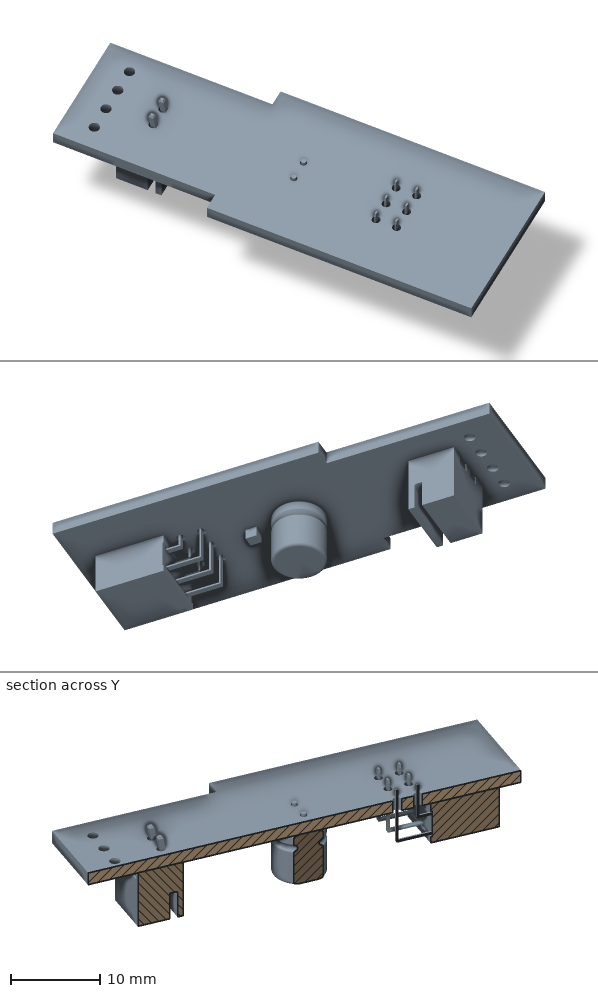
import cadquery as cq
BOARD_LENGTH = 53.35
BOARD_WIDTH = 18.8
BOARD_THICKNESS = 1.6
NECK_LENGTH = 20.25
NECK_WIDTH = 14.6
BOARD_START_X = -BOARD_LENGTH / 2
BOARD_END_X = BOARD_LENGTH / 2
NECK_END_X = BOARD_START_X + NECK_LENGTH

WIRE_HOLE_DIAMETER = 1.3
WIRE_HOLE_X = -22.9
WIRE_HOLE_PITCH = 3.0
WIRE_HOLE_COUNT = 4

SOCKET_START_X = -20.55
SOCKET_LENGTH = 5.65
SOCKET_WIDTH = 7.4
SOCKET_HEIGHT = 7.05
SLOT_WIDTH = 0.95
SLOT_HEIGHT = 3.35
SLOT_WALL = 0.75
SLOT_CORNER_RADIUS = 0.25
SOCKET_PIN_X = -17.1
SOCKET_PIN_PITCH = 2.5
SOCKET_PIN_SIZE = 0.65
SOCKET_PIN_HOLE_DIAMETER = 1.0
SOCKET_PIN_TOP = 3.35
SOCKET_PIN_TAPER_HEIGHT = 0.25
SOCKET_PIN_TIP_SCALE = 0.5
KINK_OFFSET = 0.15
TIP_OFFSET = -0.1
CHANNEL_WIDTH = 1.6
CHANNEL_HEIGHT = 0.25
POCKET_HEIGHT = 1.05
POCKET_DEPTH = 0.2
POCKET_WALL_LEAN = 0.08

CAN_X = 0.5
CAN_DIAMETER = 6.3
CAN_HEIGHT = 6.45
CAN_EDGE_RADIUS = 0.4
GROOVE_TOP = 1.25
GROOVE_BOTTOM = 2.1
GROOVE_DEPTH = 0.25
GROOVE_EDGE_RADIUS = 0.2
LEAD_DIAMETER = 0.6
LEAD_PITCH = 2.5
LEAD_HOLE_DIAMETER = 0.8
LEAD_PROTRUSION = 0.3

CHIP_START_X = 5.5
CHIP_SIZE = 1.35
CHIP_HEIGHT = 1.3

HEADER_START_X = 15.5
HEADER_LENGTH = 8.5
HEADER_WIDTH = 7.6
HEADER_HEIGHT = 5.2
RECESS_DEPTH = 0.15
RECESS_TOP = 1.0
RECESS_BOTTOM = 4.3
HEADER_PITCH = 2.55
NEAR_PIN_X = 14.0
NEAR_LEG_Z = -1.35
HEADER_ROWS = 2
PINS_PER_ROW = 3
HEADER_PIN_WIDTH = 0.65
HEADER_PIN_THICKNESS = 0.2
HEADER_PIN_HOLE_DIAMETER = 1.0
HEADER_PIN_TOP = 2.9
HEADER_PIN_TAPER_HEIGHT = 0.45
HEADER_PIN_TAPER_INSET = 0.1


def centered_positions(count, pitch):
    """Evenly spaced positions that lie symmetrically about zero."""
    return [(i - (count - 1) / 2) * pitch for i in range(count)]


SOCKET_PIN_YS = centered_positions(2, SOCKET_PIN_PITCH)
LEAD_YS = centered_positions(2, LEAD_PITCH)
HEADER_PIN_YS = centered_positions(PINS_PER_ROW, HEADER_PITCH)
HEADER_PIN_XS = [NEAR_PIN_X - row * HEADER_PITCH for row in range(HEADER_ROWS)]


def make_block(start_x, end_x, width, bottom_z, top_z):
    """Rectangular block that is symmetrical about Y = 0."""
    block = cq.Workplane("XY").box(end_x - start_x, width, top_z - bottom_z, centered=(False, True, False))
    return block.translate((start_x, 0, bottom_z))


def drill(board, points, diameter):
    """Drill round holes through the board."""
    drills = cq.Workplane("XY").pushPoints(points).circle(diameter / 2).extrude(BOARD_THICKNESS)
    return board.cut(drills)


def make_board():
    neck = make_block(BOARD_START_X, NECK_END_X, NECK_WIDTH, 0, BOARD_THICKNESS)
    main_area = make_block(NECK_END_X, BOARD_END_X, BOARD_WIDTH, 0, BOARD_THICKNESS)
    board = neck.union(main_area)

    wire_holes = [(WIRE_HOLE_X, y) for y in centered_positions(WIRE_HOLE_COUNT, WIRE_HOLE_PITCH)]
    socket_holes = [(SOCKET_PIN_X, y) for y in SOCKET_PIN_YS]
    lead_holes = [(CAN_X, y) for y in LEAD_YS]
    header_holes = [(x, y) for x in HEADER_PIN_XS for y in HEADER_PIN_YS]
    board = drill(board, wire_holes, WIRE_HOLE_DIAMETER)
    board = drill(board, socket_holes, SOCKET_PIN_HOLE_DIAMETER)
    board = drill(board, lead_holes, LEAD_HOLE_DIAMETER)
    board = drill(board, header_holes, HEADER_PIN_HOLE_DIAMETER)

    for y in SOCKET_PIN_YS:
        board = board.cut(make_socket_pin(y))
    return board


def socket_pin_section(x, y, z, size):
    """Square wire across a socket pin at one height."""
    return cq.Workplane("XY", origin=(x, y, z)).rect(size, size).wires().val()


def make_socket_pin(y):
    """Pin that leans toward +X inside the board and back toward -X above it."""
    taper_start = SOCKET_PIN_TOP - SOCKET_PIN_TAPER_HEIGHT
    root = socket_pin_section(SOCKET_PIN_X, y, -CHANNEL_HEIGHT, SOCKET_PIN_SIZE)
    entry = socket_pin_section(SOCKET_PIN_X, y, 0, SOCKET_PIN_SIZE)
    kink = socket_pin_section(SOCKET_PIN_X + KINK_OFFSET, y, BOARD_THICKNESS, SOCKET_PIN_SIZE)
    shoulder = socket_pin_section(SOCKET_PIN_X + TIP_OFFSET, y, taper_start, SOCKET_PIN_SIZE)
    tip_size = SOCKET_PIN_SIZE * SOCKET_PIN_TIP_SCALE
    tip = socket_pin_section(SOCKET_PIN_X + TIP_OFFSET, y, SOCKET_PIN_TOP, tip_size)
    return cq.Workplane(cq.Solid.makeLoft([root, entry, kink, shoulder, tip], True))


def make_socket():
    socket_end_x = SOCKET_START_X + SOCKET_LENGTH
    socket = make_block(SOCKET_START_X, socket_end_x, SOCKET_WIDTH, -SOCKET_HEIGHT, 0)

    slot_end_x = socket_end_x - SLOT_WALL
    slot_top_z = SLOT_HEIGHT - SOCKET_HEIGHT
    slot = make_block(slot_end_x - SLOT_WIDTH, slot_end_x, SOCKET_WIDTH, -SOCKET_HEIGHT, slot_top_z)
    socket = socket.cut(slot.edges(">X and >Z").fillet(SLOT_CORNER_RADIUS))

    pocket_end_x = SOCKET_START_X + POCKET_DEPTH
    for y in SOCKET_PIN_YS:
        channel = (
            cq.Workplane("XZ", origin=(0, y + CHANNEL_WIDTH / 2, 0))
            .moveTo(SOCKET_START_X, 0)
            .lineTo(SOCKET_START_X, -POCKET_HEIGHT)
            .lineTo(pocket_end_x, -POCKET_HEIGHT)
            .lineTo(pocket_end_x - POCKET_WALL_LEAN, -CHANNEL_HEIGHT)
            .lineTo(socket_end_x, -CHANNEL_HEIGHT)
            .lineTo(socket_end_x, 0)
            .close()
            .extrude(CHANNEL_WIDTH)
        )
        socket = socket.cut(channel)

    for y in SOCKET_PIN_YS:
        socket = socket.union(make_socket_pin(y))
    return socket


def make_capacitor():
    radius = CAN_DIAMETER / 2
    groove_middle = (GROOVE_TOP + GROOVE_BOTTOM) / 2
    can = (
        cq.Workplane("XZ")
        .lineTo(radius, 0)
        .lineTo(radius, -GROOVE_TOP)
        .threePointArc((radius - GROOVE_DEPTH, -groove_middle), (radius, -GROOVE_BOTTOM))
        .lineTo(radius, -CAN_HEIGHT)
        .lineTo(0, -CAN_HEIGHT)
        .close()
        .revolve(360, (0, 0, 0), (0, 1, 0))
    )
    can = can.faces("<Z or >Z").edges().fillet(CAN_EDGE_RADIUS)
    groove_edges = cq.selectors.BoxSelector(
        (-radius, -radius, -GROOVE_BOTTOM - GROOVE_EDGE_RADIUS),
        (radius, radius, -GROOVE_TOP + GROOVE_EDGE_RADIUS),
    )
    can = can.edges(groove_edges).edges("%CIRCLE").fillet(GROOVE_EDGE_RADIUS).translate((CAN_X, 0, 0))
    leads = (
        cq.Workplane("XY")
        .pushPoints([(CAN_X, y) for y in LEAD_YS])
        .circle(LEAD_DIAMETER / 2)
        .extrude(BOARD_THICKNESS + LEAD_PROTRUSION)
    )
    return can.union(leads)


def make_chip():
    return make_block(CHIP_START_X, CHIP_START_X + CHIP_SIZE, CHIP_SIZE, -CHIP_HEIGHT, 0)


def make_header_pin(pin_x, leg_z, y):
    """L-shaped flat pin: a leg out of the block and an upright through the board."""
    half = HEADER_PIN_THICKNESS / 2
    leg_end_x = HEADER_START_X + RECESS_DEPTH
    pin = (
        cq.Workplane("XZ", origin=(0, y + HEADER_PIN_WIDTH / 2, 0))
        .moveTo(leg_end_x, leg_z - half)
        .lineTo(pin_x - half, leg_z - half)
        .lineTo(pin_x - half, HEADER_PIN_TOP)
        .lineTo(pin_x + half, HEADER_PIN_TOP)
        .lineTo(pin_x + half, leg_z + half)
        .lineTo(leg_end_x, leg_z + half)
        .close()
        .extrude(HEADER_PIN_WIDTH)
    )
    return pin.faces(">Z").edges("|X").chamfer(HEADER_PIN_TAPER_INSET, HEADER_PIN_TAPER_HEIGHT)


def make_header():
    header_end_x = HEADER_START_X + HEADER_LENGTH
    header = make_block(HEADER_START_X, header_end_x, HEADER_WIDTH, -HEADER_HEIGHT, 0)

    recess_end_x = HEADER_START_X + RECESS_DEPTH
    recess = make_block(HEADER_START_X, recess_end_x, HEADER_WIDTH, -RECESS_BOTTOM, -RECESS_TOP)
    header = header.cut(recess)
    for row, pin_x in enumerate(HEADER_PIN_XS):
        leg_z = NEAR_LEG_Z - row * HEADER_PITCH
        for y in HEADER_PIN_YS:
            header = header.union(make_header_pin(pin_x, leg_z, y))
    return header


board = make_board()
socket = make_socket()
capacitor = make_capacitor()
chip = make_chip()
header = make_header()

bodies = [board, socket, capacitor, chip, header]
result = cq.Compound.makeCompound([body.solids().val() for body in bodies])